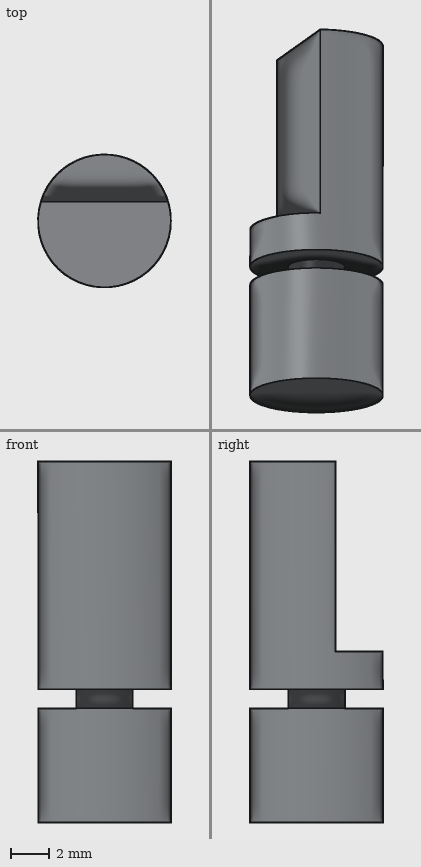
import cadquery as cq

pin_diameter = 7.0
total_height = 19.0

foot_height = 6.0
groove_width = 1.0
neck_diameter = 3.0

flat_offset = 1.0
flat_height = 10.0


def cylinder(diameter, bottom, top):
    """Solid cylinder on the Z axis between two heights."""
    return cq.Workplane("XY").workplane(offset=bottom).circle(diameter / 2).extrude(top - bottom)


def flat_cutter():
    """Block that removes everything beyond the flat, above the step."""
    return (
        cq.Workplane("XY")
        .box(pin_diameter, pin_diameter, flat_height, centered=(True, False, False))
        .translate((0, flat_offset, total_height - flat_height))
    )


groove_top = foot_height + groove_width

foot = cylinder(pin_diameter, 0, foot_height)
neck = cylinder(neck_diameter, foot_height, groove_top)
upper_body = cylinder(pin_diameter, groove_top, total_height).cut(flat_cutter())

result = foot.union(neck).union(upper_body)